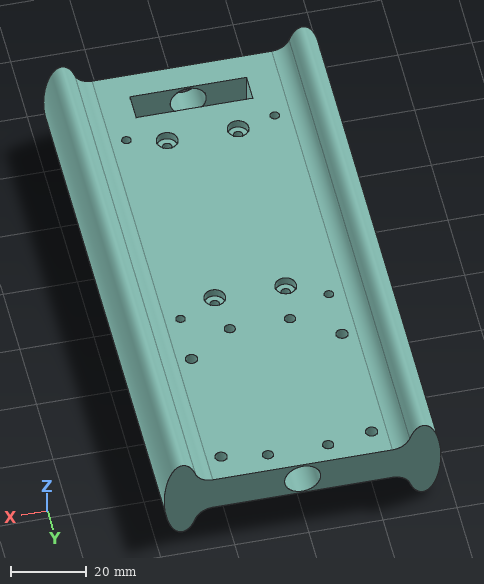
import cadquery as cq

width = 74.7
length = 145.0
height = 26.0
web_thickness = 10.9
rail_spacing = 65.0
rail_width = width - rail_spacing
root_fillet = 5.0

bore_diameter = 9.7

slot_width = 31.5
slot_depth = 7.5
slot_y = -61.0

hole_groups = [
    (3.2, 20.3, (65.0, 29.5)),
    (2.9, 8.1, (67.0, 21.2)),
    (2.5, 20.0, (15.0, -50.0)),
]

screw_diameter = 2.5
counterbore_diameter = 5.7
counterbore_depth = 2.5
screw_half_spacing = 9.5
screw_rows = (9.5, -47.5)


def mirrored_points(half_spacing, rows):
    """Pairs of points mirrored about X = 0, one pair per row."""
    return [(side * half_spacing, y) for y in rows for side in (-1, 1)]


def make_rail(side):
    """Elliptical rail running the full length, on the given side of the web."""
    return (
        cq.Workplane("XZ", origin=(side * rail_spacing / 2, length / 2, 0))
        .ellipse(rail_width / 2, height / 2)
        .extrude(length)
    )


def make_body():
    """Web and rails with filleted inner corners."""
    web = cq.Workplane("XY").box(rail_spacing, length, web_thickness)
    body = web.union(make_rail(-1)).union(make_rail(1))
    corner_zone = cq.selectors.BoxSelector(
        (-rail_spacing / 2, -length / 4, -web_thickness),
        (rail_spacing / 2, length / 4, web_thickness),
    )
    return body.edges(corner_zone).fillet(root_fillet)


result = make_body()

bore = cq.Workplane("XZ").circle(bore_diameter / 2).extrude(length / 2, both=True)
result = result.cut(bore)

slot = cq.Workplane("XY").box(slot_width, slot_depth, web_thickness).translate((0, slot_y, 0))
result = result.cut(slot)

web_top = cq.Workplane("XY", origin=(0, 0, web_thickness / 2))
for diameter, half_spacing, rows in hole_groups:
    points = mirrored_points(half_spacing, rows)
    holes = web_top.pushPoints(points).circle(diameter / 2).extrude(-web_thickness)
    result = result.cut(holes)

screw_points = mirrored_points(screw_half_spacing, screw_rows)
screw_holes = web_top.pushPoints(screw_points).circle(screw_diameter / 2).extrude(-web_thickness)
counterbores = web_top.pushPoints(screw_points).circle(counterbore_diameter / 2).extrude(-counterbore_depth)
result = result.cut(screw_holes).cut(counterbores)